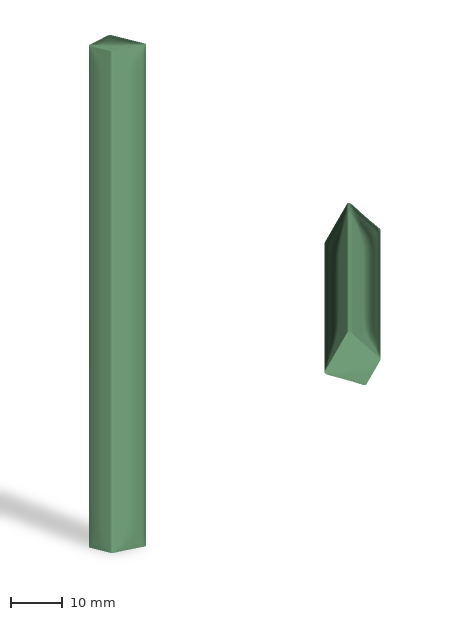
import cadquery as cq

length = 101.6
back_width = 9.5
front_width = 6.2
depth = 8.3
wall_depth = 0.9
flank_hollow = 0.08
back_radius = 0.3
front_radius = 0.5

half_back = back_width / 2
half_front = front_width / 2
back_y = depth / 2
front_y = -depth / 2
wall_y = back_y - wall_depth

flank_mid_x = (half_back + half_front) / 2 - flank_hollow
flank_mid_y = (wall_y + front_y) / 2

bar = (
    cq.Workplane("XY")
    .moveTo(-half_front, front_y)
    .lineTo(half_front, front_y)
    .threePointArc((flank_mid_x, flank_mid_y), (half_back, wall_y))
    .lineTo(half_back, back_y)
    .lineTo(-half_back, back_y)
    .lineTo(-half_back, wall_y)
    .threePointArc((-flank_mid_x, flank_mid_y), (-half_front, front_y))
    .close()
    .extrude(length)
)

bar = bar.edges("|Z and >Y").fillet(back_radius)
bar = bar.edges("|Z and <Y").fillet(front_radius)

result = bar